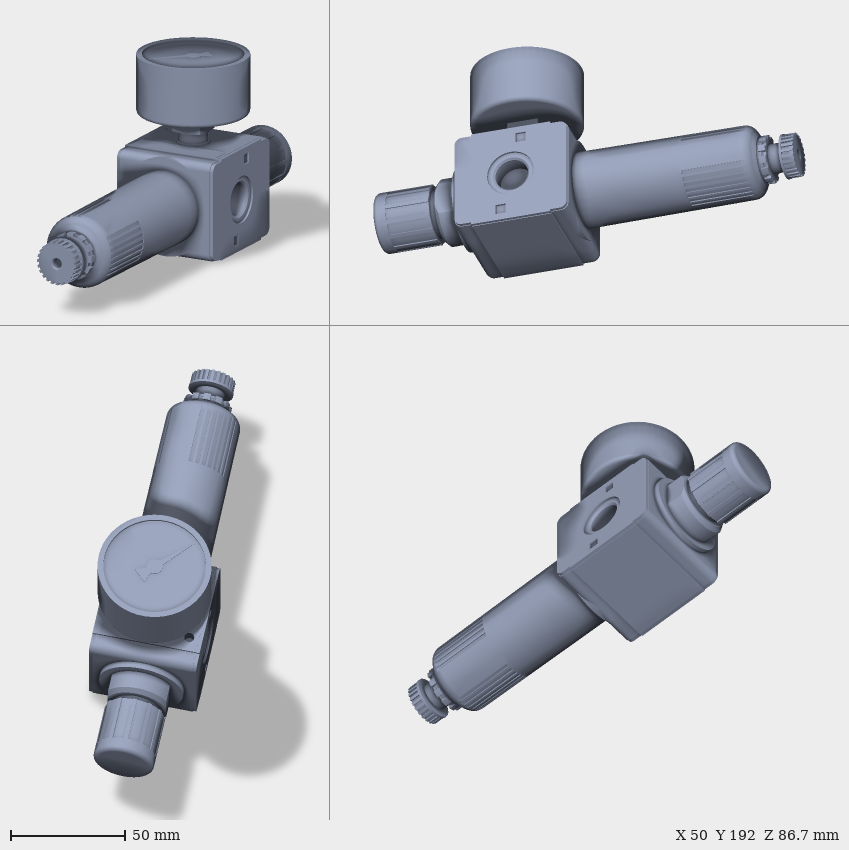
import cadquery as cq
import math


BLOCK_WIDTH = 44.8
PLATE_SPAN = 48.0
PLATE_INSET = 0.3
BLOCK_HALF_LENGTH = 26.1
SHOULDER_Z = 22.4
RAISED_Z = 23.3
RAISED_HALF_LENGTH = 18.2
EDGE_RADIUS = 3.4
FRONT_DISC_DEPTH = 3.4

TOP_Z = 23.2
RIDGE_Z = 23.5
RIDGE_WIDTH = 42.2
RIDGE_FRONT = -17.4
RIDGE_BACK = -8.6
VENT_DIAMETER = 4.4
VENT_X, VENT_Y = -18.0, 11.7
VENT_DEPTH = 5.0
SPOT_DIAMETER = 16.0
SPOT_X, SPOT_Y = -18.0, 0.2
SPOT_DEPTH = 0.2
GAUGE_BOSS_DIAMETER = 14.95
GAUGE_BOSS_TOP = 23.9

PORT_FACE_DIAMETER = 21.4
PORT_FACE_DEPTH = 1.0
PORT_THREAD_DIAMETER = 16.66
PORT_BORE_DIAMETER = 14.95
PORT_BORE_DEPTH = 9.5
MARK_SIZE = 4.5
MARK_DEPTH = 1.0
MARK_Y, MARK_Z = 4.6, 17.6

FLANGE_DIAMETER = 37.6
FLANGE_END = 28.8
NUT_DIAMETER = 30.0
NUT_ACROSS_FLATS = 26.0
NUT_CHAMFER_START = 36.7
NUT_END = 38.5
NUT_END_DIAMETER = 26.4
NECK_DIAMETER = 21.4
KNOB_DIAMETER = 27.0
KNOB_START = 41.2
KNOB_END = 67.0
KNOB_EDGE_RADIUS = 1.9
KNOB_RIBS = 12
KNOB_RIB_WIDTH = 1.9
KNOB_FLUTE_DEPTH = 0.5
KNOB_FLUTE_END = 61.0

BOWL_DIAMETER = 34.0
BOWL_END_DIAMETER = 33.0
BOWL_TAPER_END = -102.5
BOWL_ROUND_RADIUS = 5.1
BOWL_ROUND_END_RADIUS = 13.2
GRIP_GROUPS = 3
GRIP_GROOVES = 7
GRIP_PITCH = 10.0
GRIP_GROOVE_WIDTH = 1.8
GRIP_FLOOR_RADIUS = 16.05
GRIP_START = -75.6
GRIP_CENTRE = 0.0

BOWL_TIP_DIAMETER = 22.0
COLLAR_DIAMETER = 20.0
COLLAR_START = -108.7
COLLAR_PADS = 12
PAD_DIAMETER = 21.4
PAD_WIDTH = 3.1
PAD_START = -109.6
COLLAR_END = -112.7
COLLAR_NOTCH_WIDTH = 2.3
COLLAR_NOTCH_START = -110.9
COLLAR_NOTCH_DEPTH = 0.8
DRAIN_STEM_DIAMETER = 13.16
DRAIN_STEM_END = -118.1
DRAIN_NECK_DIAMETER = 9.73
DRAIN_KNOB_START = -118.7
DRAIN_RIM_DIAMETER = 20.0
DRAIN_RIM_END = -119.8
DRAIN_KNOB_DIAMETER = 19.5
DRAIN_END = -125.0
DRAIN_TEETH = 24
DRAIN_NOTCH_WIDTH = 1.3
DRAIN_NOTCH_DEPTH = 0.9
DRAIN_HOLE_DIAMETER = 4.4
DRAIN_HOLE_MOUTH = 5.4
DRAIN_HOLE_DEPTH = 4.0

GAUGE_DIAMETER = 50.0
GAUGE_TOP = 63.4
GAUGE_BOTTOM = 36.4
GAUGE_EDGE_RADIUS = 1.8
DIAL_DIAMETER = 45.0
DIAL_DEPTH = 1.0
STEM_SQUARE = 14.2
STEM_SQUARE_BOTTOM = 28.3
STEM_SQUARE_CHAMFER = 0.6
STEM_CORNER_DIAMETER = 19.5
STEM_DIAMETER = 13.0
STEM_THREAD_DIAMETER = 13.16
STEM_THREAD_TOP = 26.1
STEM_BOTTOM = 14.0
NEEDLE_HEIGHT = 0.3
NEEDLE_LENGTH = 20.6
NEEDLE_BASE_WIDTH = 3.0
NEEDLE_HUB_DIAMETER = 7.0
NEEDLE_NECK_WIDTH = 2.8
NEEDLE_TAIL_WIDTH = 7.4
NEEDLE_TAIL_LENGTH = 7.9
NEEDLE_ANGLE = 225.0

OVERSHOOT = 1.0


def rod(diameter, y_start, y_end):
    """Cylinder on the Y axis."""
    plane = cq.Workplane("XZ", origin=(0, y_start, 0))
    return plane.circle(diameter / 2).extrude(y_start - y_end)


def lathe(profile):
    """Solid of revolution about the Y axis from a sketch of radius (X) against Y."""
    return profile.close().revolve(360, (0, 0, 0), (0, 1, 0))


def radial_slot(width, floor_radius, outer_radius, y_start, y_end, angle):
    """Straight bar along Y that reaches in to floor_radius, at an angle from +X."""
    reach = outer_radius - floor_radius + OVERSHOOT
    length = abs(y_end - y_start)
    centre = (floor_radius + reach / 2, (y_start + y_end) / 2, 0)
    slot = cq.Workplane("XY").box(reach, length, width).translate(centre)
    return slot.rotate((0, 0, 0), (0, 1, 0), -angle)


def block_slab(width, inset):
    """Block profile in YZ, raised in the middle, extruded symmetrically along X."""
    shoulder = cq.Workplane("YZ").rect(2 * (BLOCK_HALF_LENGTH - inset), 2 * (SHOULDER_Z - inset))
    slab = shoulder.extrude(width / 2, both=True).edges("|X").fillet(EDGE_RADIUS)
    raised = cq.Workplane("YZ").rect(2 * RAISED_HALF_LENGTH, 2 * (RAISED_Z - inset))
    return slab.union(raised.extrude(width / 2, both=True))


def finish_top(body):
    """Lower the top, leave the cross ridge standing, add the vent hole and the round spot."""
    above = cq.Workplane("XY", origin=(0, 0, TOP_Z)).rect(PLATE_SPAN, 2 * BLOCK_HALF_LENGTH)
    body = body.cut(above.extrude(RAISED_Z))
    ridge_length = RIDGE_BACK - RIDGE_FRONT
    ridge_height = RIDGE_Z - SHOULDER_Z
    ridge = cq.Workplane("XY").box(
        RIDGE_WIDTH, ridge_length, ridge_height, centered=(True, False, False)
    )
    body = body.union(ridge.translate((0, RIDGE_FRONT, SHOULDER_Z)))
    top = cq.Workplane("XY", origin=(0, 0, TOP_Z))
    vent = top.center(VENT_X, VENT_Y).circle(VENT_DIAMETER / 2).extrude(-VENT_DEPTH)
    spot = top.center(SPOT_X, SPOT_Y).circle(SPOT_DIAMETER / 2).extrude(-SPOT_DEPTH)
    inside = cq.Workplane("XY").box(RIDGE_WIDTH, 2 * BLOCK_HALF_LENGTH, 2 * TOP_Z)
    return body.cut(vent).cut(spot.intersect(inside))


def side_cutter():
    """Port and the two square marks of the -X side."""
    face = cq.Workplane("YZ", origin=(-PLATE_SPAN / 2, 0, 0))
    cutter = face.circle(PORT_FACE_DIAMETER / 2).extrude(PORT_FACE_DEPTH)
    countersink = (PORT_THREAD_DIAMETER - PORT_BORE_DIAMETER) / 2
    port_floor = face.workplane(offset=PORT_FACE_DEPTH)
    lead_in = port_floor.circle(PORT_THREAD_DIAMETER / 2).workplane(offset=countersink)
    cutter = cutter.union(lead_in.circle(PORT_BORE_DIAMETER / 2).loft())
    cutter = cutter.union(face.circle(PORT_BORE_DIAMETER / 2).extrude(PORT_BORE_DEPTH))
    marks = face.pushPoints([(-MARK_Y, MARK_Z), (MARK_Y, -MARK_Z)])
    return cutter.union(marks.rect(MARK_SIZE, MARK_SIZE).extrude(MARK_DEPTH))


def make_bonnet():
    bonnet = rod(FLANGE_DIAMETER, BLOCK_HALF_LENGTH - OVERSHOOT, FLANGE_END)
    profile = (
        cq.Workplane("XY")
        .moveTo(0, FLANGE_END)
        .lineTo(NUT_DIAMETER / 2, FLANGE_END)
        .lineTo(NUT_DIAMETER / 2, NUT_CHAMFER_START)
        .lineTo(NUT_END_DIAMETER / 2, NUT_END)
        .lineTo(0, NUT_END)
    )
    between_flats = cq.Workplane("XY").box(NUT_ACROSS_FLATS, 2 * NUT_END, NUT_DIAMETER)
    return bonnet.union(lathe(profile).intersect(between_flats))


def make_knob():
    knob = rod(KNOB_DIAMETER, KNOB_START, KNOB_END).faces(">Y").edges().fillet(KNOB_EDGE_RADIUS)
    floor_diameter = KNOB_DIAMETER - 2 * KNOB_FLUTE_DEPTH
    flutes = rod(KNOB_DIAMETER + OVERSHOOT, KNOB_START, KNOB_FLUTE_END)
    flutes = flutes.cut(rod(floor_diameter, KNOB_START, KNOB_FLUTE_END))
    for i in range(KNOB_RIBS):
        angle = i * 360 / KNOB_RIBS
        flutes = flutes.cut(
            radial_slot(
                KNOB_RIB_WIDTH, floor_diameter / 2 - OVERSHOOT, KNOB_DIAMETER / 2,
                KNOB_START, KNOB_FLUTE_END, angle,
            )
        )
    return knob.cut(flutes).union(rod(NECK_DIAMETER, NUT_END - OVERSHOOT, KNOB_START + OVERSHOOT))


def make_housing():
    body = block_slab(BLOCK_WIDTH, 0).union(block_slab(PLATE_SPAN, PLATE_INSET))
    body = body.union(rod(2 * SHOULDER_Z, -BLOCK_HALF_LENGTH, FRONT_DISC_DEPTH - BLOCK_HALF_LENGTH))
    body = finish_top(body)
    boss = cq.Workplane("XY", origin=(0, 0, GAUGE_BOSS_TOP)).circle(GAUGE_BOSS_DIAMETER / 2)
    body = body.union(boss.extrude(SHOULDER_Z - GAUGE_BOSS_TOP - OVERSHOOT))
    left_side = side_cutter()
    right_side = left_side.rotate((0, 0, 0), (0, 0, 1), 180)
    body = body.cut(left_side).cut(right_side)
    gauge_hole = cq.Workplane("XY", origin=(0, 0, STEM_BOTTOM)).circle(STEM_THREAD_DIAMETER / 2)
    body = body.cut(gauge_hole.extrude(GAUGE_BOSS_TOP - STEM_BOTTOM))
    return body.union(make_bonnet()).union(make_knob())


def bowl_shell():
    wall = BOWL_END_DIAMETER / 2
    round_centre = wall - BOWL_ROUND_RADIUS
    end_run = BOWL_ROUND_END_RADIUS - round_centre
    round_end = BOWL_TAPER_END - math.sqrt(BOWL_ROUND_RADIUS**2 - end_run**2)
    mid_angle = math.acos(end_run / BOWL_ROUND_RADIUS) / 2
    mid_point = (
        round_centre + BOWL_ROUND_RADIUS * math.cos(mid_angle),
        BOWL_TAPER_END - BOWL_ROUND_RADIUS * math.sin(mid_angle),
    )
    profile = (
        cq.Workplane("XY")
        .moveTo(0, -BLOCK_HALF_LENGTH)
        .lineTo(BOWL_DIAMETER / 2, -BLOCK_HALF_LENGTH)
        .lineTo(wall, BOWL_TAPER_END)
        .threePointArc(mid_point, (BOWL_ROUND_END_RADIUS, round_end))
        .lineTo(BOWL_TIP_DIAMETER / 2, COLLAR_START)
        .lineTo(0, COLLAR_START)
    )
    return lathe(profile)


def cut_grips(shell):
    first = -GRIP_PITCH * (GRIP_GROOVES - 1) / 2
    for group in range(GRIP_GROUPS):
        centre = GRIP_CENTRE + group * 360 / GRIP_GROUPS
        for i in range(GRIP_GROOVES):
            angle = centre + first + i * GRIP_PITCH
            shell = shell.cut(
                radial_slot(
                    GRIP_GROOVE_WIDTH, GRIP_FLOOR_RADIUS, BOWL_DIAMETER / 2,
                    GRIP_START, COLLAR_START, angle,
                )
            )
    return shell


def make_collar():
    """Ring with raised pads and an open notch between each two of them."""
    collar = rod(COLLAR_DIAMETER, COLLAR_START, COLLAR_END)
    radius = COLLAR_DIAMETER / 2
    pitch = 360 / COLLAR_PADS
    pad_zone = rod(PAD_DIAMETER, PAD_START, COLLAR_END)
    for i in range(COLLAR_PADS):
        pad = radial_slot(
            PAD_WIDTH, radius - COLLAR_NOTCH_DEPTH, PAD_DIAMETER / 2,
            PAD_START, COLLAR_END, i * pitch,
        )
        notch = radial_slot(
            COLLAR_NOTCH_WIDTH, radius - COLLAR_NOTCH_DEPTH, radius,
            COLLAR_NOTCH_START, COLLAR_END, (i + 0.5) * pitch,
        )
        collar = collar.cut(notch).union(pad.intersect(pad_zone))
    return collar


def make_drain():
    profile = (
        cq.Workplane("XY")
        .moveTo(0, COLLAR_END)
        .lineTo(DRAIN_STEM_DIAMETER / 2, COLLAR_END)
        .lineTo(DRAIN_STEM_DIAMETER / 2, DRAIN_STEM_END)
        .lineTo(DRAIN_NECK_DIAMETER / 2, DRAIN_STEM_END)
        .lineTo(DRAIN_NECK_DIAMETER / 2, DRAIN_KNOB_START)
        .lineTo(DRAIN_RIM_DIAMETER / 2, DRAIN_KNOB_START)
        .lineTo(DRAIN_RIM_DIAMETER / 2, DRAIN_RIM_END)
        .lineTo(DRAIN_KNOB_DIAMETER / 2, DRAIN_RIM_END)
        .lineTo(DRAIN_KNOB_DIAMETER / 2, DRAIN_END)
        .lineTo(DRAIN_HOLE_MOUTH / 2, DRAIN_END)
        .lineTo(DRAIN_HOLE_DIAMETER / 2, DRAIN_END + (DRAIN_HOLE_MOUTH - DRAIN_HOLE_DIAMETER) / 2)
        .lineTo(DRAIN_HOLE_DIAMETER / 2, DRAIN_END + DRAIN_HOLE_DEPTH)
        .lineTo(0, DRAIN_END + DRAIN_HOLE_DEPTH)
    )
    drain = lathe(profile)
    radius = DRAIN_KNOB_DIAMETER / 2
    for i in range(DRAIN_TEETH):
        angle = (i + 0.5) * 360 / DRAIN_TEETH
        drain = drain.cut(
            radial_slot(
                DRAIN_NOTCH_WIDTH, radius - DRAIN_NOTCH_DEPTH, radius,
                DRAIN_RIM_END, DRAIN_END, angle,
            )
        )
    return drain


def make_bowl():
    return cut_grips(bowl_shell()).union(make_collar()).union(make_drain())


def make_needle():
    dial = cq.Workplane("XY", origin=(0, 0, GAUGE_TOP - DIAL_DEPTH))
    half_base = NEEDLE_BASE_WIDTH / 2
    pointer = dial.polyline([(0, half_base), (NEEDLE_LENGTH, 0), (0, -half_base)]).close()
    pointer = pointer.extrude(NEEDLE_HEIGHT)
    half_neck = NEEDLE_NECK_WIDTH / 2
    half_tail = NEEDLE_TAIL_WIDTH / 2
    neck_x = -math.sqrt((NEEDLE_HUB_DIAMETER / 2) ** 2 - half_neck**2)
    tail = dial.polyline(
        [
            (0, half_neck),
            (neck_x, half_neck),
            (-NEEDLE_TAIL_LENGTH, half_tail),
            (-NEEDLE_TAIL_LENGTH, -half_tail),
            (neck_x, -half_neck),
            (0, -half_neck),
        ]
    ).close()
    tail = tail.extrude(NEEDLE_HEIGHT)
    needle = dial.circle(NEEDLE_HUB_DIAMETER / 2).extrude(NEEDLE_HEIGHT)
    needle = needle.union(pointer).union(tail)
    return needle.rotate((0, 0, 0), (0, 0, 1), NEEDLE_ANGLE)


def make_gauge():
    base = cq.Workplane("XY", origin=(0, 0, GAUGE_BOTTOM))
    case = base.circle(GAUGE_DIAMETER / 2).extrude(GAUGE_TOP - GAUGE_BOTTOM)
    case = case.faces("<Z").edges().fillet(GAUGE_EDGE_RADIUS)
    dial = cq.Workplane("XY", origin=(0, 0, GAUGE_TOP)).circle(DIAL_DIAMETER / 2)
    case = case.cut(dial.extrude(-DIAL_DEPTH)).union(make_needle())
    square = base.rect(STEM_SQUARE, STEM_SQUARE).extrude(STEM_SQUARE_BOTTOM - GAUGE_BOTTOM)
    rounding = base.circle(STEM_CORNER_DIAMETER / 2).extrude(STEM_SQUARE_BOTTOM - GAUGE_BOTTOM)
    corner_reach = (STEM_CORNER_DIAMETER - STEM_SQUARE) / 2
    rounding = rounding.faces("<Z").edges().chamfer(STEM_SQUARE_CHAMFER, corner_reach)
    stem = base.circle(STEM_DIAMETER / 2).extrude(STEM_BOTTOM - GAUGE_BOTTOM)
    thread = cq.Workplane("XY", origin=(0, 0, STEM_BOTTOM)).circle(STEM_THREAD_DIAMETER / 2)
    thread = thread.extrude(STEM_THREAD_TOP - STEM_BOTTOM)
    return case.union(square.intersect(rounding)).union(stem).union(thread)


housing = make_housing()
bowl = make_bowl()
gauge = make_gauge()

result = cq.Compound.makeCompound([housing.val(), bowl.val(), gauge.val()])